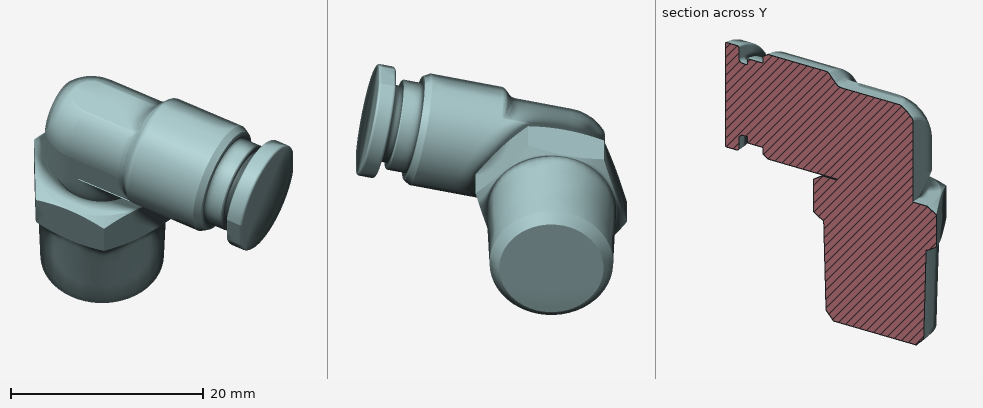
import cadquery as cq
import math

stem_chamfer = 1.0
stem_taper = 1 / 16
stem_top_radius = 6.75
nut_bottom = 11.0
nut_top = 16.01
nut_across_flats = 14.0
nut_face_radius = 6.9
nut_chamfer_angle = 30

port_z = 21.99
elbow_radius = 5.0
elbow_end_x = -1.25
end_flat_x = -5.02
top_flat_height = 4.55
flat_edge_fillet = 0.5
side_depth = 3.0
undercut_fillet = 0.25
undercut_slope = 2.5

body_radius = 5.91
shoulder_x = 6.17
shoulder_root_fillet = 1.0
shoulder_rim_fillet = 0.6
body_end_x = 14.7
body_chamfer_length = 0.7
body_chamfer_angle = 30

sleeve_radius = 4.77
sleeve_end_x = 16.77
sleeve_chamfer = 0.1
neck_radius = 4.07
neck_fillet = 0.45
flange_radius = 5.91
flange_x = 17.8
flange_end_x = 19.65
flange_fillet = 0.25
flange_flat_y = 5.7

selection_gap = 0.28

nut_corner_radius = nut_across_flats / math.sqrt(3)
shoulder_root_reach = body_radius - top_flat_height
side_bottom = port_z - side_depth


def box(x0, x1, half_width, z0, z1):
    """Box spanning x0..x1 and z0..z1, centred on the XZ plane."""
    block = cq.Workplane("XY").box(x1 - x0, 2 * half_width, z1 - z0)
    return block.translate(((x0 + x1) / 2, 0, (z0 + z1) / 2))


def revolve_about_z(profile):
    return cq.Workplane("XZ").polyline(profile).close().revolve(360, (0, 0), (0, 1))


def edges_within(x0, x1, z0, z1):
    """Selects the edges whose centre lies in the given X and Z ranges."""
    margin = 0.03
    low = (x0 - margin, -body_radius, z0 - margin)
    high = (x1 + margin, body_radius, z1 + margin)
    return cq.selectors.BoxSelector(low, high)


def make_stem():
    lower_radius = stem_top_radius - (nut_bottom - stem_chamfer) * stem_taper / 2
    return revolve_about_z([
        (0, 0),
        (lower_radius - stem_chamfer, 0),
        (lower_radius, stem_chamfer),
        (stem_top_radius, nut_bottom),
        (0, nut_bottom),
    ])


def make_nut():
    chamfer_drop = (nut_corner_radius - nut_face_radius) * math.tan(math.radians(nut_chamfer_angle))
    hexagon = (
        cq.Workplane("XY", origin=(0, 0, nut_bottom))
        .polygon(6, 2 * nut_corner_radius)
        .extrude(nut_top - nut_bottom)
    )
    envelope = revolve_about_z([
        (0, nut_bottom),
        (nut_face_radius, nut_bottom),
        (nut_corner_radius, nut_bottom + chamfer_drop),
        (nut_corner_radius, nut_top - chamfer_drop),
        (nut_face_radius, nut_top),
        (0, nut_top),
    ])
    return hexagon.intersect(envelope)


def rounded_bar(end_x, bottom):
    """Upright bar with a half-round end, from `bottom` up to the port axis."""
    return (
        cq.Workplane("XY", origin=(0, 0, bottom))
        .moveTo(end_x, -elbow_radius)
        .lineTo(elbow_end_x, -elbow_radius)
        .threePointArc((elbow_end_x - elbow_radius, 0), (elbow_end_x, elbow_radius))
        .lineTo(end_x, elbow_radius)
        .close()
        .extrude(port_z - bottom)
    )


def make_arm():
    """Upper half of the arm along X, closed by a quarter-sphere end."""
    diagonal = elbow_radius * math.sqrt(0.5)
    return (
        cq.Workplane("XY", origin=(0, 0, port_z))
        .moveTo(elbow_end_x - elbow_radius, 0)
        .threePointArc((elbow_end_x - diagonal, diagonal), (elbow_end_x, elbow_radius))
        .lineTo(shoulder_x, elbow_radius)
        .lineTo(shoulder_x, 0)
        .close()
        .revolve(180, (0, 0), (1, 0))
    )


def make_undercut():
    """Space outside a cone that widens upwards from the round column, on the -X side."""
    rise = undercut_slope * elbow_radius
    outside = revolve_about_z([
        (elbow_radius, nut_top),
        (2 * elbow_radius, nut_top),
        (2 * elbow_radius, nut_top + rise),
    ])
    return outside.intersect(box(-2 * elbow_radius, 0, 2 * elbow_radius, nut_top, nut_top + rise))


def make_column():
    """Round column rising from the nut into the elbow."""
    return (
        cq.Workplane("XY", origin=(0, 0, nut_bottom))
        .circle(elbow_radius)
        .extrude(port_z - nut_bottom)
    )


def make_elbow():
    """Arm and bar with rounded flats on the top and the -X end, undercut around the column."""
    top = port_z + top_flat_height
    elbow = make_arm()
    elbow = elbow.union(rounded_bar(shoulder_x, side_bottom))
    elbow = elbow.union(rounded_bar(0, nut_top))
    elbow = elbow.intersect(box(end_flat_x, shoulder_x, elbow_radius, nut_top, top))

    top_flat_edges = edges_within(end_flat_x, elbow_radius, top, top)
    elbow = elbow.edges(top_flat_edges).fillet(flat_edge_fillet)
    end_flat_edges = edges_within(end_flat_x, end_flat_x, nut_top + selection_gap, top)
    elbow = elbow.edges(end_flat_edges).fillet(flat_edge_fillet)

    elbow = elbow.cut(make_undercut())
    undercut_edges = edges_within(
        end_flat_x,
        elbow_end_x - selection_gap,
        nut_top + selection_gap,
        side_bottom - selection_gap,
    )
    return elbow.edges(undercut_edges).fillet(undercut_fillet)


def make_port_body():
    """Turned port body, its shoulder cone reaching down to the axis inside the elbow."""
    chamfer_drop = body_chamfer_length * math.tan(math.radians(body_chamfer_angle))
    return (
        cq.Workplane("XZ", origin=(0, 0, port_z))
        .moveTo(shoulder_x - body_radius, 0)
        .lineTo(shoulder_x, body_radius)
        .lineTo(body_end_x - body_chamfer_length, body_radius)
        .lineTo(body_end_x, body_radius - chamfer_drop)
        .lineTo(body_end_x, 0)
        .close()
        .revolve(360, (0, 0), (1, 0))
        .edges(edges_within(shoulder_x, shoulder_x, port_z - body_radius, port_z + body_radius))
        .fillet(shoulder_rim_fillet)
    )


def make_keel():
    """Underside of the body continued below the elbow sides to the middle of the column."""
    end_x = shoulder_x + shoulder_rim_fillet
    return (
        cq.Workplane("YZ", origin=(0, 0, port_z))
        .circle(body_radius)
        .extrude(end_x)
        .intersect(box(0, end_x, body_radius, port_z - body_radius, side_bottom))
    )


def make_release_sleeve():
    """Sleeve and neck, turned about the port axis, with a rounded corner into the flange."""
    return (
        cq.Workplane("XZ", origin=(0, 0, port_z))
        .moveTo(body_end_x, 0)
        .lineTo(body_end_x, sleeve_radius)
        .lineTo(sleeve_end_x - sleeve_chamfer, sleeve_radius)
        .lineTo(sleeve_end_x, sleeve_radius - sleeve_chamfer)
        .lineTo(sleeve_end_x, neck_radius)
        .lineTo(flange_x - neck_fillet, neck_radius)
        .tangentArcPoint((neck_fillet, neck_fillet))
        .lineTo(flange_x, 0)
        .close()
        .revolve(360, (0, 0), (1, 0))
    )


def make_flange():
    """Round flange with a flat on each Y side."""
    disc = (
        cq.Workplane("YZ", origin=(flange_x, 0, port_z))
        .circle(flange_radius)
        .extrude(flange_end_x - flange_x)
    )
    flats = box(flange_x, flange_end_x, flange_flat_y, port_z - flange_radius, port_z + flange_radius)
    return disc.intersect(flats).faces("<X or >X").edges().fillet(flange_fillet)


def make_elbow_with_port():
    """Elbow joined to the port body, with the concave edge at the shoulder rounded."""
    joined = make_elbow().union(make_port_body())
    shoulder_root = edges_within(
        shoulder_x - shoulder_root_reach,
        shoulder_x - selection_gap,
        side_bottom + selection_gap,
        port_z + top_flat_height,
    )
    return joined.edges(shoulder_root).fillet(shoulder_root_fillet)


result = (
    make_stem()
    .union(make_nut())
    .union(make_column())
    .union(make_elbow_with_port())
    .union(make_keel())
    .union(make_release_sleeve())
    .union(make_flange())
)